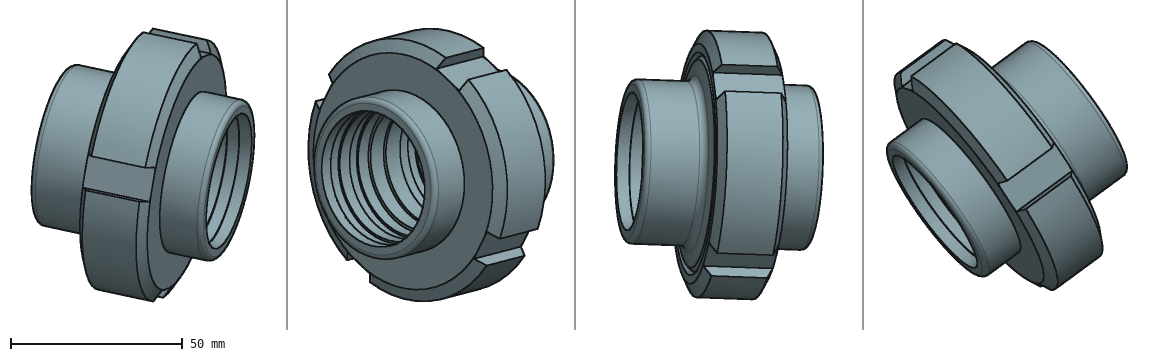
import cadquery as cq
import math

total_length = 53.0
socket_diameter = 48.0
end_round = 1.55

nut_diameter = 77.8
nut_start = 19.2
nut_end = 40.0
nut_chamfer_length = 2.1
nut_chamfer_depth = 3.9
slot_count = 4
slot_width = 10.2
slot_floor_radius = 34.9
slot_first_angle = 60.0

collar_radius = 30.35
collar_slope = 12.0
blend_radius = 2.3
groove_mouth_diameter = 65.0
groove_bottom_radius = 31.5
groove_depth = 1.2

socket_bore_diameter = 40.2
narrow_bore_diameter = 38.0
socket_bore_depth = 20.1
land_bore_diameter = 39.8
ring_groove_diameter = 41.0
ring_groove_width = 3.7
ring_groove_starts = (3.9, 11.9)

gap_diameter = 42.0
gap_start = 26.2
gap_end = 27.25


def cylinder(diameter, start, end):
    return cq.Workplane("YZ").workplane(offset=start).circle(diameter / 2).extrude(end - start)


def make_body():
    """Revolve the outer profile, drawn as axial position and radius."""
    socket_radius = socket_diameter / 2
    nut_radius = nut_diameter / 2
    nut_face_radius = nut_radius - nut_chamfer_depth
    slope = math.radians(collar_slope)
    blend_sweep = math.pi / 2 - slope
    blend_end_radius = socket_radius + blend_radius * (1 - math.cos(blend_sweep))
    blend_end = nut_start - (collar_radius - blend_end_radius) * math.tan(slope)
    blend_start = blend_end - blend_radius * math.sin(blend_sweep)
    blend_middle = (
        blend_start + blend_radius * math.sin(blend_sweep / 2),
        socket_radius + blend_radius * (1 - math.cos(blend_sweep / 2)),
    )
    round_offset = end_round * (1 - math.sqrt(0.5))
    profile = (
        cq.Workplane("XY")
        .moveTo(0, 0)
        .lineTo(0, socket_radius - end_round)
        .threePointArc((round_offset, socket_radius - round_offset), (end_round, socket_radius))
        .lineTo(blend_start, socket_radius)
        .threePointArc(blend_middle, (blend_end, blend_end_radius))
        .lineTo(nut_start, collar_radius)
        .lineTo(nut_start + groove_depth, groove_bottom_radius)
        .lineTo(nut_start, groove_mouth_diameter / 2)
        .lineTo(nut_start, nut_face_radius)
        .lineTo(nut_start + nut_chamfer_length, nut_radius)
        .lineTo(nut_end - nut_chamfer_length, nut_radius)
        .lineTo(nut_end, nut_face_radius)
        .lineTo(nut_end, socket_radius)
        .lineTo(total_length - end_round, socket_radius)
        .threePointArc(
            (total_length - round_offset, socket_radius - round_offset),
            (total_length, socket_radius - end_round),
        )
        .lineTo(total_length, 0)
        .close()
    )
    return profile.revolve(360, (0, 0, 0), (1, 0, 0))


def cut_spanner_slots(body):
    slot_height = nut_diameter / 2
    slot = cq.Workplane("XY").box(
        nut_end - nut_start, slot_height, slot_width, centered=(False, False, True)
    ).translate((nut_start, slot_floor_radius, 0))
    for index in range(slot_count):
        angle = slot_first_angle + index * 360 / slot_count
        body = body.cut(slot.rotate((0, 0, 0), (1, 0, 0), angle))
    return body


def make_bore():
    bore = cylinder(narrow_bore_diameter, 0, total_length)
    gap = cylinder(gap_diameter, gap_start, gap_end)
    half = cylinder(land_bore_diameter, 0, socket_bore_depth)
    half = half.union(cylinder(socket_bore_diameter, 0, ring_groove_starts[0]))
    for start in ring_groove_starts:
        half = half.union(cylinder(ring_groove_diameter, start, start + ring_groove_width))
    other_half = half.mirror("YZ").translate((total_length, 0, 0))
    return bore.union(half).union(other_half).union(gap)


result = cut_spanner_slots(make_body()).cut(make_bore())